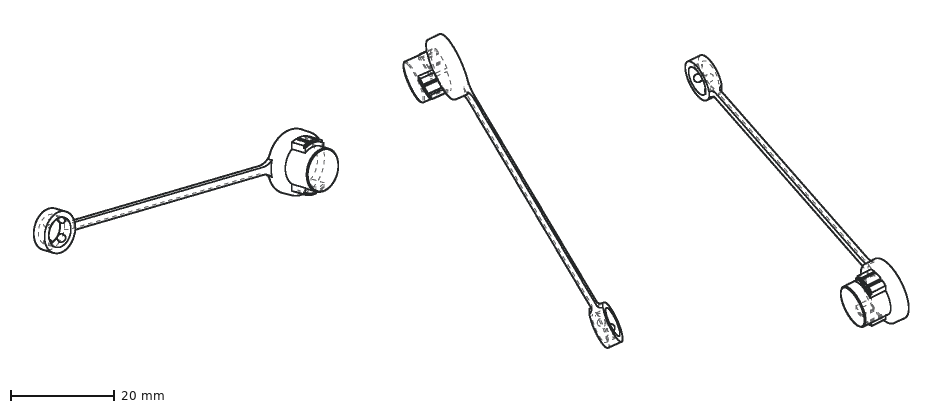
import cadquery as cq
import math

cap_radius = 6.475
cap_back_radius = 6.38
cap_thickness = 3.0
cap_face_round = 0.4
cap_back_round = 0.25

plug_radius = 4.36
plug_length = 6.0
plug_end_chamfer = 0.2

pad_width = 5.1
pad_length = 3.6
pad_radius = 5.15
ridge_radius = 5.55
ridge_length = 3.2
groove_inner = 0.91
groove_outer = 1.37

ring_radius = 4.2
ring_bore_radius = 3.0
ring_width = 3.0
ring_distance = 65.0

pin_count = 4
pin_first_angle = 45.0
pin_radius = 0.8
pin_tip_radius = 2.15
pin_tip_round = 0.35

strap_height = 1.6
strap_thickness = 1.2
cap_web_radius = 3.6
ring_web_radius = 0.6

ring_mid_x = ring_width / 2
cap_face_x = ring_mid_x - strap_thickness / 2
cap_back_x = cap_face_x + cap_thickness
ring_flare_radius = (ring_width - strap_thickness) / 2
cap_web_edge_radius = cap_radius - cap_face_round
ring_y = -ring_distance
overlap = 0.2


def disc(radius, start_x, length, y=0.0):
    """Cylinder along +X starting at start_x."""
    return cq.Workplane("YZ", origin=(start_x, y, 0)).circle(radius).extrude(length)


def make_cap():
    outline = [
        (cap_face_x, 0),
        (cap_face_x, cap_radius),
        (cap_back_x, cap_back_radius),
        (cap_back_x, 0),
    ]
    cap = cq.Workplane("XY").polyline(outline).close().revolve(360, (0, 0, 0), (1, 0, 0))
    cap = cap.faces("<X").edges().fillet(cap_face_round)
    return cap.faces(">X").edges().fillet(cap_back_round)


def make_plug():
    plug = disc(plug_radius, cap_back_x - overlap, plug_length + overlap)
    return plug.faces(">X").edges().chamfer(plug_end_chamfer)


def make_groove(side):
    """Groove between the middle ridge and one side ridge, with a sloping floor."""
    outer_edge_z = math.sqrt(ridge_radius ** 2 - groove_outer ** 2)
    outline = [
        (side * groove_inner, pad_radius - overlap),
        (side * groove_inner, cap_radius),
        (side * groove_outer, cap_radius),
        (side * groove_outer, outer_edge_z),
    ]
    return cq.Workplane("YZ", origin=(cap_back_x, 0, 0)).polyline(outline).close().extrude(ridge_length)


def make_grip_pads():
    """Two opposite pads with rounded tops, each carrying three ridges."""
    ridges = disc(ridge_radius, cap_back_x - overlap, ridge_length + overlap)
    for side in (-1, 1):
        groove = make_groove(side)
        ridges = ridges.cut(groove).cut(groove.mirror("XY"))
    pads = ridges.union(disc(pad_radius, cap_back_x - overlap, pad_length + overlap))
    slab = cq.Workplane("XY").box(2 * (cap_back_x + pad_length), pad_width, 2 * cap_radius)
    return pads.intersect(slab)


def make_web(y, radius, web_radius, direction, thickness):
    """Strap root blending into a round end with a concave arc on each side."""
    half = strap_height / 2
    arc_z = half + web_radius
    arc_y = math.sqrt((radius + web_radius) ** 2 - arc_z ** 2)
    share = radius / (radius + web_radius)
    touch = (y + direction * arc_y * share, arc_z * share)
    leave = (y + direction * arc_y, half)
    slope = (math.atan2(arc_z, arc_y) + math.pi / 2) / 2
    middle = (
        y + direction * (arc_y - web_radius * math.cos(slope)),
        arc_z - web_radius * math.sin(slope),
    )
    return (
        cq.Workplane("YZ", origin=(ring_mid_x - thickness / 2, 0, 0))
        .moveTo(y, touch[1])
        .lineTo(*touch)
        .threePointArc(middle, leave)
        .lineTo(leave[0], -leave[1])
        .threePointArc((middle[0], -middle[1]), (touch[0], -touch[1]))
        .lineTo(y, -touch[1])
        .close()
        .extrude(thickness)
    )


def make_strap():
    strap = (
        cq.Workplane("XY")
        .box(strap_thickness, ring_distance, strap_height)
        .translate((ring_mid_x, ring_y / 2, 0))
    )
    return strap.union(make_web(0.0, cap_web_edge_radius, cap_web_radius, -1, strap_thickness))


def make_ring_flare():
    """Strap end widening along X to the full ring width in two concave arcs."""
    root_y = ring_y + ring_radius
    strap_end_y = root_y + ring_flare_radius
    arc_depth = ring_flare_radius * (1 - math.sqrt(0.5))
    envelope = (
        cq.Workplane("XY")
        .moveTo(0, ring_y)
        .lineTo(0, root_y)
        .threePointArc((ring_flare_radius - arc_depth, root_y + arc_depth), (ring_flare_radius, strap_end_y))
        .lineTo(ring_width - ring_flare_radius, strap_end_y)
        .threePointArc((ring_width - ring_flare_radius + arc_depth, root_y + arc_depth), (ring_width, root_y))
        .lineTo(ring_width, ring_y)
        .close()
        .extrude(ring_radius, both=True)
    )
    root = cq.Workplane("XY").box(ring_width, 2 * (strap_end_y - ring_y), strap_height)
    root = root.translate((ring_mid_x, ring_y, 0)).intersect(envelope)
    return make_web(ring_y, ring_radius, ring_web_radius, 1, ring_width).intersect(envelope).union(root)


def make_pins():
    pins = cq.Workplane("XY")
    outer = (ring_radius + ring_bore_radius) / 2
    for index in range(pin_count):
        pin = (
            cq.Workplane("XY", origin=(ring_mid_x, ring_y, pin_tip_radius))
            .circle(pin_radius)
            .extrude(outer - pin_tip_radius)
            .faces("<Z").edges().fillet(pin_tip_round)
        )
        angle = pin_first_angle + index * 360.0 / pin_count
        pins = pins.add(pin.rotate((0, ring_y, 0), (1, ring_y, 0), angle))
    return pins.combine()


ring_bore = disc(ring_bore_radius, 0.0, ring_width, ring_y)

result = make_cap().union(make_plug()).union(make_grip_pads())
result = result.union(make_strap())
result = result.union(disc(ring_radius, 0.0, ring_width, ring_y)).union(make_ring_flare())
result = result.cut(ring_bore).union(make_pins())